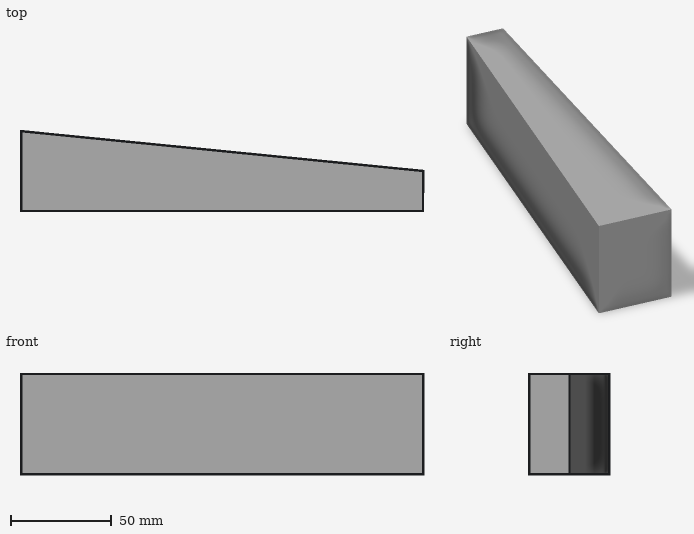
import cadquery as cq

length = 200.0
height = 50.0
thick_end = 39.8
thin_end = 20.0
end_lean = 0.05

wedge_outline = [
    (0, 0),
    (length - end_lean, 0),
    (length, thin_end),
    (0, thick_end),
]

result = cq.Workplane("XY").polyline(wedge_outline).close().extrude(height)